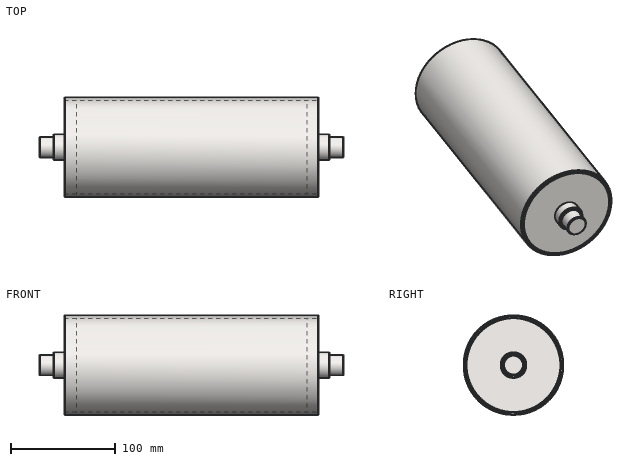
import cadquery as cq

overall_length = 293.0
drum_length = 245.0
drum_diameter = 96.0
cap_diameter = 90.0
cap_thickness = 11.7

shoulder_diameter = 25.0
shoulder_length = 10.5
journal_diameter = 20.0

drum_chamfer = 1.0
bore_chamfer = 0.5
journal_chamfer = 1.0

drum_end = drum_length / 2
journal_length = (overall_length - drum_length) / 2 - shoulder_length


def cylinder_along_x(start, length, diameter):
    """Solid cylinder on the X axis, running from start towards +X."""
    return cq.Workplane("YZ").workplane(offset=start).circle(diameter / 2).extrude(length)


def make_drum():
    """Open tube with chamfered outer and bore rims."""
    drum = cylinder_along_x(-drum_end, drum_length, drum_diameter)
    drum = drum.faces("<X or >X").edges().chamfer(drum_chamfer)
    drum = drum.cut(cylinder_along_x(-drum_end, drum_length, cap_diameter))
    bore_rims = cq.selectors.RadiusNthSelector(0)
    return drum.faces("<X or >X").edges(bore_rims).chamfer(bore_chamfer)


def make_end_cap():
    """Disc flush with the +X drum end, carrying a shoulder and a journal."""
    disc = cylinder_along_x(drum_end - cap_thickness, cap_thickness, cap_diameter)
    shoulder = cylinder_along_x(drum_end, shoulder_length, shoulder_diameter)
    shoulder = shoulder.faces(">X").edges().chamfer(journal_chamfer)
    journal = cylinder_along_x(drum_end + shoulder_length, journal_length, journal_diameter)
    journal = journal.faces(">X").edges().chamfer(journal_chamfer)
    return disc.union(shoulder).union(journal)


drum = make_drum()

end_caps = []
for turn in (0, 180):
    cap = make_end_cap().rotate((0, 0, 0), (0, 0, 1), turn)
    end_caps.append(cap.val())

result = cq.Compound.makeCompound([drum.val(), *end_caps])